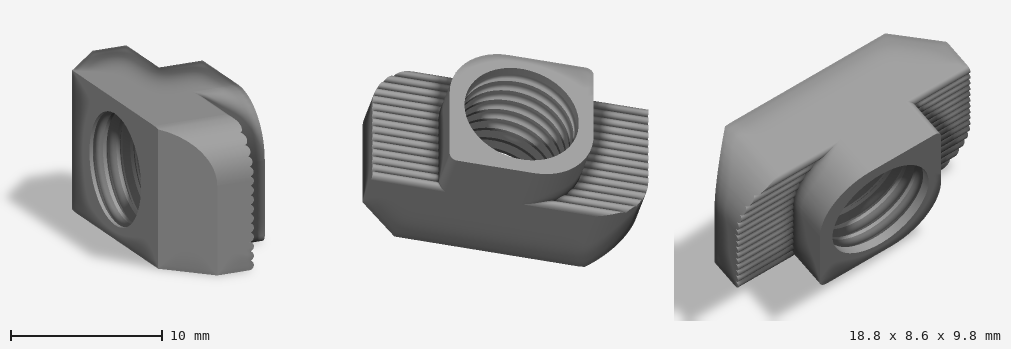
import cadquery as cq
import math

length = 18.8
width = 9.8
depth = 8.6

boss_height = 2.99
boss_large_radius = 4.02
boss_small_radius = 0.53

plate_depth = depth - boss_height
plate_corner_radius = 3.52
bevel = 2.91

serration_count = 15
serration_radius = width / serration_count / 2

bore_radius = 7.78 / 2
groove_pitch = 1.0
groove_count = 8
land_width = groove_pitch / 4
root_width = groove_pitch / 8
flank_width = (groove_pitch - land_width - root_width) / 2
flank_angle = 30.0
groove_depth = flank_width / math.tan(math.radians(flank_angle))


def serrated_plate():
    """Beveled plate with half-round ridges running along X on its rear face."""
    valley_y = plate_depth - serration_radius
    block = cq.Workplane("XY").box(length, valley_y, width, centered=(True, False, True))
    block = block.faces("<Y").edges("|Z").chamfer(bevel)

    profile = cq.Workplane("YZ").moveTo(0, -width / 2).lineTo(valley_y, -width / 2)
    for i in range(serration_count):
        center_z = -width / 2 + (2 * i + 1) * serration_radius
        profile = profile.threePointArc(
            (plate_depth, center_z), (valley_y, center_z + serration_radius)
        )
    ridged = profile.lineTo(0, width / 2).close().extrude(length / 2, both=True)

    rear = cq.Workplane("XY").box(length, plate_depth, width, centered=(True, False, True))
    rear = rear.translate((0, bevel, 0))
    return block.union(ridged.intersect(rear))


def round_diagonal_corners(block_length, block_depth, radius, other_radius=0):
    """Block with lower-left and upper-right corners rounded, and optionally the other two."""
    block = cq.Workplane("XY").box(block_length, block_depth, width, centered=(True, False, True))
    half_x = block_length / 2
    half_z = width / 2
    for side in (-1, 1):
        corner = (side * half_x, block_depth / 2, side * half_z)
        block = block.edges(cq.selectors.NearestToPointSelector(corner)).fillet(radius)
        if other_radius:
            corner = (side * half_x, block_depth / 2, -side * half_z)
            block = block.edges(cq.selectors.NearestToPointSelector(corner)).fillet(other_radius)
    return block


def grooved_bore():
    """Through bore with evenly spaced V grooves, revolved about the Y axis."""
    root_radius = bore_radius + groove_depth
    profile = cq.Workplane("XY").moveTo(0, 0).lineTo(bore_radius, 0)
    for i in range(groove_count):
        start = land_width + i * groove_pitch
        root_start = start + flank_width
        root_end = root_start + root_width
        profile = profile.lineTo(bore_radius, start)
        profile = profile.lineTo(root_radius, root_start)
        profile = profile.lineTo(root_radius, root_end)
        profile = profile.lineTo(bore_radius, root_end + flank_width)
    profile = profile.lineTo(bore_radius, depth).lineTo(0, depth).close()
    return profile.revolve(360, (0, 0, 0), (0, 1, 0))


plate_outline = round_diagonal_corners(length, plate_depth, plate_corner_radius)
plate = serrated_plate().intersect(plate_outline)
boss = round_diagonal_corners(width, depth, boss_large_radius, boss_small_radius)
boss_zone = cq.Workplane("XY").box(width, depth, width, centered=(True, False, True))
boss = boss.intersect(boss_zone.translate((0, plate_depth - serration_radius, 0)))

result = plate.union(boss).cut(grooved_bore())